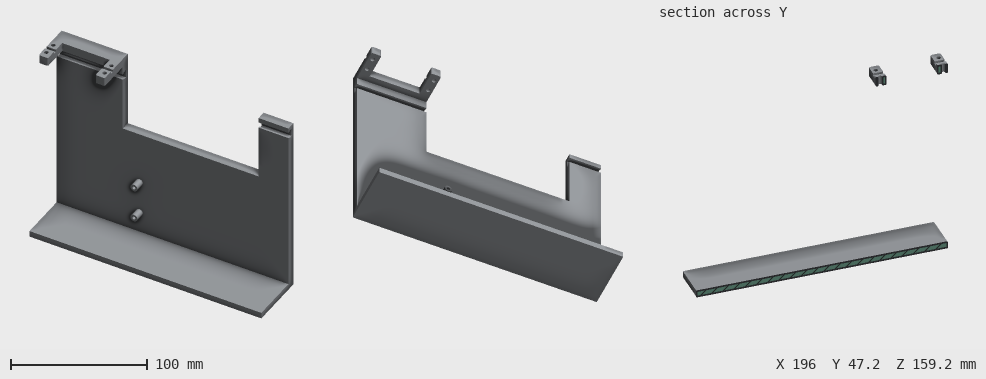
import cadquery as cq

length = 196.0
depth = 47.2
height = 159.2

base_thickness = 5.0
wall_thickness = 7.5
left_column_width = 55.9
right_column_width = 25.3
right_column_height = 149.2
panel_height = 95.0

bracket_thickness = 7.3
bracket_reach = 33.7
bridge_depth = 12.7
arm_width = 7.8
tip_fillet = 1.2
arm_hole_diameter = 3.3
arm_hole_side_offset = 3.3
arm_hole_distances = (18.2, 28.2)
notch_distance = 22.0
notch_width = 2.5
notch_depth = 2.0

groove_center_z = 142.7
groove_mouth_height = 4.7
groove_inner_height = 6.7
groove_floor_distance = 2.7
groove_lip = 1.4

pin_x = 70.0
pin_heights = (23.0, 50.8)
pin_diameter = 5.9
pin_bore_diameter = 2.5
pin_length = 8.0


def block(x, width, back, front, bottom, top):
    """Box given by its X start and width, distances from the back face and Z limits."""
    box = cq.Workplane("XY").box(width, front - back, top - bottom, centered=False)
    return box.translate((x, -front, bottom))


def make_frame():
    """Base plate with the stepped wall standing along its back edge."""
    right_column_x = length - right_column_width
    base = block(0, length, 0, depth, 0, base_thickness)
    left_column = block(0, left_column_width, 0, wall_thickness, 0, height)
    panel = block(0, length, 0, wall_thickness, 0, panel_height)
    right_column = block(right_column_x, right_column_width, 0, wall_thickness, 0, right_column_height)
    return base.union(left_column).union(panel).union(right_column)


def make_bracket():
    """U-shaped fork with rounded arm tips, a cross notch and two holes in each arm."""
    bottom = height - bracket_thickness
    opening_width = left_column_width - 2 * arm_width
    bracket = block(0, left_column_width, 0, bracket_reach, bottom, height)
    bracket = bracket.cut(block(arm_width, opening_width, bridge_depth, bracket_reach, bottom, height))
    bracket = bracket.faces("<Y").edges("|Z").fillet(tip_fillet)

    notch_end = notch_distance + notch_width
    bracket = bracket.cut(
        block(0, left_column_width, notch_distance, notch_end, height - notch_depth, height)
    )

    hole_xs = (arm_hole_side_offset, left_column_width - arm_hole_side_offset)
    hole_points = [(x, -distance) for x in hole_xs for distance in arm_hole_distances]
    holes = (
        cq.Workplane("XY", origin=(0, 0, bottom))
        .pushPoints(hole_points)
        .circle(arm_hole_diameter / 2)
        .extrude(bracket_thickness)
    )
    return bracket.cut(holes)


def make_groove():
    """T-shaped cutter: a wide inner channel behind a narrower mouth."""
    inner_half = groove_inner_height / 2
    mouth_half = groove_mouth_height / 2
    channel = block(
        0, length, groove_floor_distance, wall_thickness - groove_lip,
        groove_center_z - inner_half, groove_center_z + inner_half,
    )
    mouth = block(
        0, length, groove_floor_distance, wall_thickness,
        groove_center_z - mouth_half, groove_center_z + mouth_half,
    )
    return channel.union(mouth)


def make_pins():
    """Hollow pins standing out from the front face of the wall."""
    return (
        cq.Workplane("XZ", origin=(0, -wall_thickness, 0))
        .pushPoints([(pin_x, z) for z in pin_heights])
        .circle(pin_diameter / 2)
        .circle(pin_bore_diameter / 2)
        .extrude(pin_length)
    )


result = make_frame().cut(make_groove()).union(make_bracket()).union(make_pins())